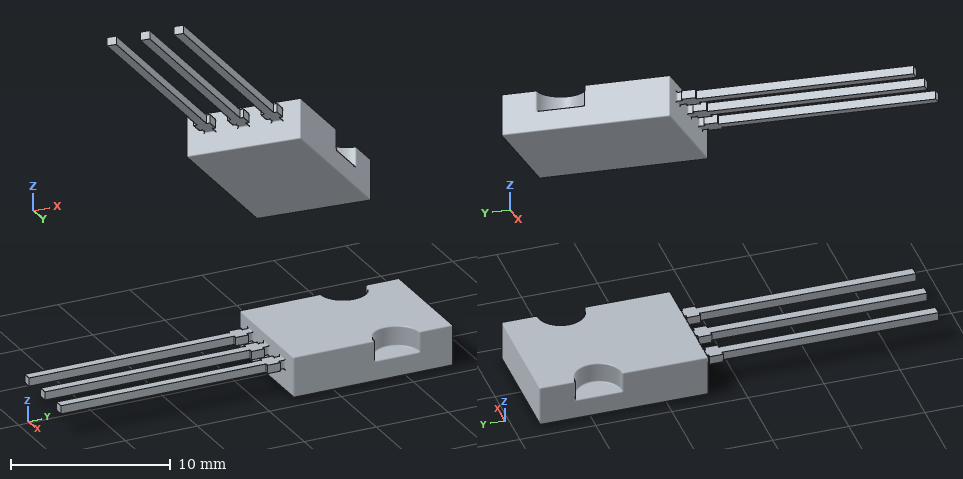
import cadquery as cq

body_width = 7.8
body_length = 11.1
body_height = 2.8
overall_length = 26.64
edge_radius = 0.1

pocket_radius = 1.55
pocket_depth = 1.4
pocket_to_back = 3.9

lead_count = 3
lead_pitch = 2.286
lead_width = 0.65
lead_thickness = 0.58
lead_top_drop = 0.72
neck_length = 0.4
collar_width = 1.1
collar_length = 0.9
selection_margin = 0.01

lead_length = overall_length - body_length
lead_bottom = body_height - lead_top_drop - lead_thickness


def make_pocket(side):
    """Cylinder with a rounded floor corner, set on the left (side = -1) or right (side = 1) side."""
    return (
        cq.Workplane("XY", origin=(0, 0, body_height - pocket_depth))
        .center(side * body_width / 2, body_length - pocket_to_back)
        .circle(pocket_radius)
        .extrude(pocket_depth)
        .faces("<Z")
        .edges()
        .fillet(edge_radius)
    )


def make_body():
    """Block with two edge pockets and every outer edge rounded."""
    body = cq.Workplane("XY").box(
        body_width, body_length, body_height, centered=(True, False, False)
    )
    for side in (-1, 1):
        body = body.cut(make_pocket(side))
    outer_edges = body.faces("<X or >X or <Y or >Y or <Z or >Z").edges()
    return outer_edges.fillet(edge_radius)


def lead_bar(x_center, y_back, width, length):
    """Flat bar running from y_back toward -Y at the lead height."""
    return (
        cq.Workplane("XY", origin=(x_center, y_back - length / 2, lead_bottom))
        .rect(width, length)
        .extrude(lead_thickness)
    )


def round_root(part, x_center):
    """Fillet the corner where one lead meets the front face of the body."""
    low_corner = (
        x_center - lead_width / 2 - selection_margin,
        -selection_margin,
        lead_bottom - selection_margin,
    )
    high_corner = (
        x_center + lead_width / 2 + selection_margin,
        selection_margin,
        lead_bottom + lead_thickness + selection_margin,
    )
    root_edges = part.edges(cq.selectors.BoxSelector(low_corner, high_corner))
    return root_edges.fillet(edge_radius)


def add_lead(part, x_center):
    """Join one collared lead to the front face and round its root."""
    shaft = lead_bar(x_center, 0, lead_width, lead_length)
    collar = lead_bar(x_center, -neck_length, collar_width, collar_length)
    return round_root(part.union(shaft).union(collar), x_center)


result = make_body()
for index in range(lead_count):
    lead_x = (index - (lead_count - 1) / 2) * lead_pitch
    result = add_lead(result, lead_x)